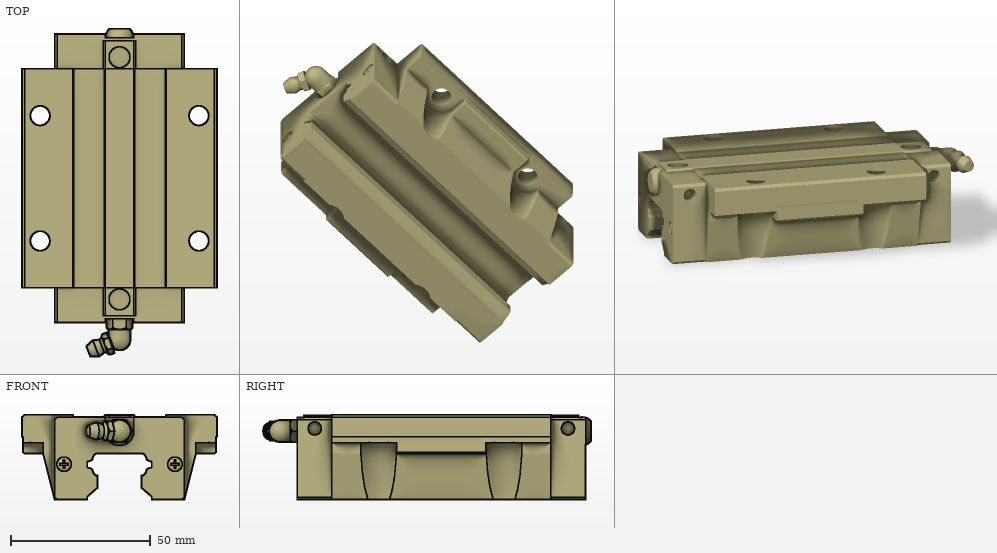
import cadquery as cq
import math


overall_length = 117.7
height = 30.5
flange_width = 70.0
body_length = 78.6
edge_chamfer = 1.0

flange_bottom = 16.5
flange_bottom_chamfer = 0.6
datum_step_z = 22.5
datum_step_depth = 0.4
body_side_top_x = 27.4
cap_half_width = 23.3
recess_half_width = 16.7
rib_half_width = 5.2
recess_depth = 0.7
recess_slope = 0.2

hole_diameter = 7.0
hole_x = 28.5
hole_y = 22.5
seat_radius = 6.5
seat_z = 20.5

rail_top_half = 8.5
rail_ledge_x = 9.7
rail_notch_x = 11.5
rail_neck_x = 7.9
rail_top_z = flange_bottom
rail_ledge_z = 14.5
rail_notch_z = 13.7
rail_mid_z = 12.6
rail_upper_mid_x = 9.3
rail_upper_mid_z = 15.7
rail_groove_mid_x = 10.5
rail_groove_mid_z = 13.9
rail_neck_top_z = 2 * rail_mid_z - rail_top_z
rail_neck_bottom_z = 4.2
rail_mouth_z = 1.1

cap_block_length = 10.0
plate_thickness = 2.5
cap_top = 29.5
cap_rib_top = 30.3
cap_rib_slope = 0.7
top_port_radius = 3.8
top_port_depth = 0.6
top_port_y = 43.4
side_port_radius = 2.4
side_port_depth = 4.7
side_port_y = 45.4
side_port_z = 25.5

screw_x = 19.9
screw_z = 12.7
screw_radius = 2.6
screw_head_height = 0.6
cross_length = 3.1
cross_width = 0.6
cross_depth = 0.5

port_z = 24.6
pocket_depth = 1.4

nut_corners = 9.4
nut_length = 3.9
elbow_radius = 4.0
elbow_reach = 6.0
nozzle_angle = 21.0
collar_corners = 8.0
collar_start = 3.4
collar_end = 5.7
collar_flare_radius = 3.4
flare_mid_radius = 2.8
flare_mid_at = 6.1
neck_radius = 2.6
neck_end = 6.8
bulge_radius = 3.2
bulge_at = 9.1
tip_radius = 2.0
tip_at = 12.0

plug_base_radius = 5.1
plug_flat_radius = 3.5
plug_shoulder_radius = 4.7
plug_shoulder_height = 0.5

half_flange = flange_width / 2
half_body = body_length / 2
plate_inner_y = half_body + cap_block_length
end_y = plate_inner_y + plate_thickness
pocket_floor_y = end_y - pocket_depth

nozzle_drop = (
    bulge_at * math.sin(math.radians(nozzle_angle))
    + bulge_radius * math.cos(math.radians(nozzle_angle))
)
plug_height = overall_length - 2 * end_y - elbow_reach - nozzle_drop


def extrude_along_y(sketch, y_start, y_end):
    """Extrude an XZ-plane outline between two Y positions."""
    return sketch.extrude(y_start - y_end).translate((0, y_start, 0))


def box(x_range, y_range, z_range):
    """Axis-aligned box given by its lower and upper limits."""
    spans = [high - low for low, high in (x_range, y_range, z_range)]
    corner = (x_range[0], y_range[0], z_range[0])
    return cq.Workplane("XY").box(*spans, centered=False).translate(corner)


def cylinder_z(x, y, z_start, z_end, radius):
    """Vertical cylinder between two heights."""
    return cq.Workplane("XY", origin=(x, y, z_start)).circle(radius).extrude(z_end - z_start)


def both_ends(shape):
    """The shape together with its copy at the other end of the carriage."""
    return shape.union(shape.mirror("XZ"))


def mirrored_x(points):
    """Points reflected to the -X side, in reverse order."""
    return [(-x, z) for x, z in reversed(points)]


def make_body():
    right_top = [
        (rib_half_width, height),
        (rib_half_width + recess_slope, height - recess_depth),
        (recess_half_width - recess_slope, height - recess_depth),
        (recess_half_width, height),
        (half_flange - edge_chamfer, height),
        (half_flange, height - edge_chamfer),
    ]
    side_x = half_flange - datum_step_depth
    right_side = [
        (half_flange, datum_step_z),
        (side_x, datum_step_z),
        (side_x, flange_bottom + flange_bottom_chamfer),
        (side_x - flange_bottom_chamfer, flange_bottom),
        (body_side_top_x, flange_bottom),
        (cap_half_width, 0),
    ]
    right = right_top + right_side
    body = cq.Workplane("XZ").polyline(right + mirrored_x(right)).close()
    body = extrude_along_y(body, -half_body, half_body)
    for side in (-1, 1):
        for end in (-1, 1):
            body = body.cut(make_seat(side, end))
            body = body.cut(cylinder_z(side * hole_x, end * hole_y, 0, height, hole_diameter / 2))
    return body


def make_seat(side, end):
    """Seat under a hole: a round-ended slot open to the side, and the flange relief beyond it."""
    seat = cylinder_z(hole_x, hole_y, 0, seat_z, seat_radius)
    slot = box((hole_x, half_flange), (hole_y - seat_radius, half_body), (0, seat_z))
    relief = box((body_side_top_x, half_flange), (hole_y, half_body), (flange_bottom, seat_z))
    seat = seat.union(slot).union(relief)
    if side < 0:
        seat = seat.mirror("YZ")
    if end < 0:
        seat = seat.mirror("XZ")
    return seat


def make_rail_opening():
    upper_mid = (rail_upper_mid_x, rail_upper_mid_z)
    groove_mid = (rail_groove_mid_x, rail_groove_mid_z)

    def below(point):
        """Reflect a point about the centre height of the ball notch."""
        return (point[0], 2 * rail_mid_z - point[1])

    top = (rail_top_half, rail_top_z)
    ledge = (rail_ledge_x, rail_ledge_z)
    notch = (rail_notch_x, rail_notch_z)
    half = (
        cq.Workplane("XZ")
        .moveTo(0, rail_top_z)
        .lineTo(*top)
        .threePointArc(upper_mid, ledge)
        .threePointArc(groove_mid, notch)
        .lineTo(*below(notch))
        .threePointArc(below(groove_mid), below(ledge))
        .threePointArc(below(upper_mid), below(top))
        .lineTo(rail_neck_x, rail_neck_top_z)
        .lineTo(rail_neck_x, rail_neck_bottom_z)
        .lineTo(rail_notch_x, rail_mouth_z)
        .lineTo(rail_notch_x, 0)
        .lineTo(0, 0)
        .close()
    )
    half = extrude_along_y(half, -end_y, end_y)
    return half.union(half.mirror("YZ"))


def make_cap():
    """End cap at the +Y end, without the fittings in its port."""
    right = [
        (cap_half_width - edge_chamfer, cap_top),
        (cap_half_width, cap_top - edge_chamfer),
        (cap_half_width, edge_chamfer),
        (cap_half_width - edge_chamfer, 0),
    ]
    cap = cq.Workplane("XZ").polyline(right + mirrored_x(right)).close()
    cap = extrude_along_y(cap, half_body, end_y)

    rib_right = [(rib_half_width, cap_rib_top), (rib_half_width + cap_rib_slope, cap_top)]
    rib = cq.Workplane("XZ").polyline(rib_right + mirrored_x(rib_right)).close()
    cap = cap.union(extrude_along_y(rib, half_body, plate_inner_y))

    cap = cap.cut(cylinder_z(0, top_port_y, cap_rib_top - top_port_depth, cap_rib_top, top_port_radius))
    for side in (-1, 1):
        side_port = (
            cq.Workplane("YZ", origin=(side * cap_half_width, side_port_y, side_port_z))
            .circle(side_port_radius)
            .extrude(-side * side_port_depth)
        )
        cap = cap.cut(side_port)

    pocket = extrude_along_y(
        cq.Workplane("XZ").center(0, port_z).circle(rib_half_width), pocket_floor_y, end_y
    )
    pocket_mouth = box((-rib_half_width, rib_half_width), (pocket_floor_y, end_y), (port_z, cap_top))
    cap = cap.cut(pocket.union(pocket_mouth))

    for side in (-1, 1):
        cap = add_screw(cap, side * screw_x)
    return cap


def add_screw(cap, x):
    """Sink a domed, cross-slotted screw head into the end plate."""
    head_base_y = end_y - screw_head_height
    sink = extrude_along_y(cq.Workplane("XZ").center(x, screw_z).circle(screw_radius), head_base_y, end_y)
    dome_radius = (screw_radius**2 + screw_head_height**2) / (2 * screw_head_height)
    dome = cq.Workplane("XY").sphere(dome_radius).translate((x, end_y - dome_radius, screw_z))
    cross = None
    for x_size, z_size in ((cross_length, cross_width), (cross_width, cross_length)):
        arm = extrude_along_y(
            cq.Workplane("XZ").center(x, screw_z).rect(x_size, z_size), end_y - cross_depth, end_y
        )
        cross = arm if cross is None else cross.union(arm)
    return cap.cut(sink.cut(dome)).cut(cross)


def hex_nut(corners, start, end):
    """Hexagon along +Z with its corners on X, the corners bevelled at its far end."""
    flat_radius = corners / 2 * math.cos(math.radians(30))
    bevel_rise = corners / 2 - flat_radius
    nut = cq.Workplane("XY").workplane(offset=start).polygon(6, corners).extrude(end - start)
    envelope = (
        cq.Workplane("XZ")
        .polyline([
            (0, start),
            (corners / 2, start),
            (corners / 2, end - bevel_rise),
            (flat_radius, end),
            (0, end),
        ])
        .close()
        .revolve(360, (0, 0, 0), (0, 1, 0))
    )
    return nut.intersect(envelope)


def make_nipple():
    """Angled grease nipple at the -Y end, its nozzle turned towards -X."""
    stem_length = pocket_depth + elbow_reach
    stem = hex_nut(nut_corners, 0, nut_length)
    stem = stem.union(cq.Workplane("XY").circle(elbow_radius).extrude(stem_length))
    stem = stem.rotate((0, 0, 0), (1, 0, 0), 90).translate((0, -pocket_floor_y, port_z))

    elbow = (0, -end_y - elbow_reach, port_z)
    ball = cq.Workplane("XY").sphere(elbow_radius).translate(elbow)

    nozzle = (
        cq.Workplane("XZ")
        .lineTo(neck_radius, 0)
        .lineTo(neck_radius, collar_end)
        .lineTo(collar_flare_radius, collar_end)
        .threePointArc((flare_mid_radius, flare_mid_at), (neck_radius, neck_end))
        .lineTo(bulge_radius, bulge_at)
        .lineTo(tip_radius, tip_at)
        .lineTo(0, tip_at)
        .close()
        .revolve(360, (0, 0, 0), (0, 1, 0))
    )
    nozzle = nozzle.union(hex_nut(collar_corners, collar_start, collar_end))
    nozzle = nozzle.rotate((0, 0, 0), (1, 0, 0), 90)
    nozzle = nozzle.rotate((0, 0, 0), (0, 0, 1), nozzle_angle - 90).translate(elbow)
    return stem.union(ball).union(nozzle)


def make_plug():
    """Domed plug closing the port at the +Y end."""
    shoulder = (plug_shoulder_radius, end_y + plug_shoulder_height)
    return (
        cq.Workplane("XY")
        .moveTo(0, pocket_floor_y)
        .lineTo(plug_base_radius, pocket_floor_y)
        .threePointArc(shoulder, (plug_flat_radius, end_y + plug_height))
        .lineTo(0, end_y + plug_height)
        .close()
        .revolve(360, (0, 0, 0), (0, 1, 0))
        .translate((0, 0, port_z))
    )


carriage = make_body().union(both_ends(make_cap())).cut(make_rail_opening())
result = carriage.union(make_nipple()).union(make_plug())